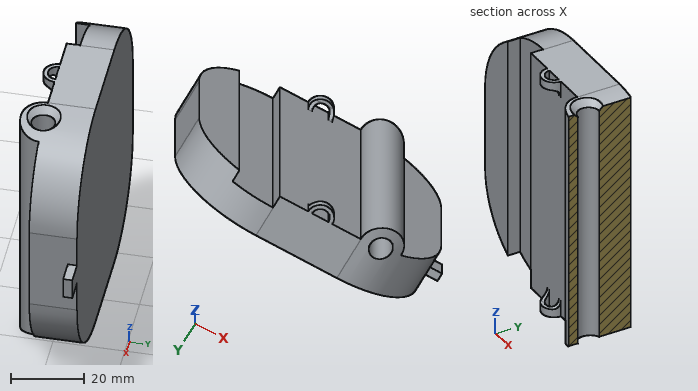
import cadquery as cq

plate_side = 76.2
plate_thickness = 13.3
corner_radius = plate_side / 3
strip_width = plate_side / 6
half_side = plate_side / 2

groove_depth = 3.8
groove_center_x = -half_side + 1.5 * strip_width

barrel_radius = strip_width / 2
barrel_x = half_side - 1.5 * strip_width
bore_diameter = 6.6
countersink_depth = 2.0

loop_radius = 3.8
loop_wall = 1.2
loop_band = 2.6
foot_radius = 2.6

tab_length = 82.55 - plate_side
tab_height = 6.35
tab_thickness = 2.6


def rounded_block(front_y, back_y):
    """Rounded square outline extruded along Y."""
    depth = back_y - front_y
    block = cq.Workplane("XY").box(plate_side, depth, plate_side)
    block = block.edges("|Y").fillet(corner_radius)
    return block.translate((0, (front_y + back_y) / 2, 0))


def make_plate():
    plate = rounded_block(0, plate_thickness)
    groove = cq.Workplane("XY").box(strip_width, 2 * groove_depth, plate_side)
    return plate.cut(groove.translate((groove_center_x, 0, 0)))


def make_barrel():
    """Barrel whose ends follow the rounded plate corners."""
    barrel = (
        cq.Workplane("XY", origin=(barrel_x, 0, -half_side))
        .circle(barrel_radius)
        .extrude(plate_side)
    )
    return barrel.intersect(rounded_block(-barrel_radius, plate_thickness))


def make_bore():
    bore_radius = bore_diameter / 2
    bore = (
        cq.Workplane("XY", origin=(barrel_x, 0, -half_side))
        .circle(bore_radius)
        .extrude(plate_side)
    )
    countersink = cq.Solid.makeCone(
        bore_radius,
        bore_radius + countersink_depth,
        countersink_depth,
        pnt=cq.Vector(barrel_x, 0, half_side - countersink_depth),
    )
    return bore.union(cq.Workplane(obj=countersink))


def make_top_loop():
    """Half ring with its two feet flared along Z by a concave arc."""
    loop_length = loop_band + foot_radius
    foot_z = half_side - loop_length
    band_z = half_side - loop_band
    ring = (
        cq.Workplane("XY", origin=(0, 0, foot_z))
        .circle(loop_radius)
        .circle(loop_radius - loop_wall)
        .extrude(loop_length)
    )
    side_outline = (
        cq.Workplane("YZ")
        .moveTo(0, half_side)
        .lineTo(-loop_radius, half_side)
        .lineTo(-loop_radius, band_z)
        .lineTo(-foot_radius, band_z)
        .radiusArc((0, foot_z), foot_radius)
        .close()
        .extrude(loop_radius, both=True)
    )
    return ring.intersect(side_outline)


def make_tab():
    center_x = half_side + tab_length / 2
    center_y = plate_thickness - tab_thickness / 2
    tab = cq.Workplane("XY").box(tab_length, tab_thickness, tab_height)
    return tab.translate((center_x, center_y, 0))


top_loop = make_top_loop()
bottom_loop = top_loop.mirror("XY")

result = make_plate().union(make_barrel()).cut(make_bore())
for attachment in (top_loop, bottom_loop, make_tab()):
    result = result.union(attachment)